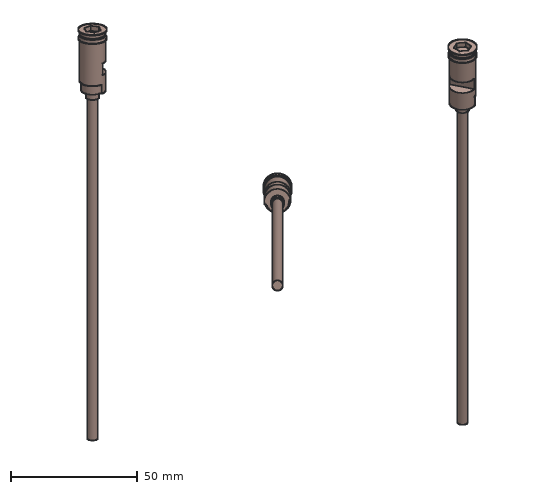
import cadquery as cq
import math

total_height = 176.5
rim_bottom = 176.1
groove_top = 174.5
groove_bottom = 174.0
lower_flare_bottom = 172.8
lower_rim_bottom = 172.5
sleeve_bottom = 153.9
body_bottom = 150.2
collar_bottom = 147.0

flange_diameter = 11.5
flange_radius = flange_diameter / 2
body_radius = 5.3
groove_radius = 5.1
core_radius = 4.6
neck_fillet = 0.7
collar_radius = 2.6
rod_radius = 2.1
sleeve_chamfer = 0.4

flare_radius = flange_radius - body_radius
upper_flare_bottom = rim_bottom - flare_radius
lower_flare_top = lower_flare_bottom + flare_radius

socket_across_flats = 6.0
socket_depth = 2.1

slot_bottom = 158.1
slot_top = 163.0
slot_floor_y = 0.7


def cylinder(radius, bottom, top):
    return cq.Workplane("XY").workplane(offset=bottom).circle(radius).extrude(top - bottom)


def half_space(side, bottom, top):
    """Block covering one side of the XZ plane: side is +1 for +Y, -1 for -Y."""
    size = 4 * flange_radius
    return (
        cq.Workplane("XY")
        .box(size, size, top - bottom, centered=(True, True, False))
        .translate((0, side * size / 2, bottom))
    )


def make_head():
    """Flanged head with a waist and a narrow groove between its two rims."""
    arc_rise = flare_radius * (1 - math.sin(math.pi / 4))
    mid_radius = body_radius + arc_rise
    upper_mid = rim_bottom - arc_rise
    lower_mid = lower_flare_bottom + arc_rise
    return (
        cq.Workplane("XZ")
        .moveTo(0, total_height)
        .lineTo(flange_radius, total_height)
        .lineTo(flange_radius, rim_bottom)
        .threePointArc((mid_radius, upper_mid), (body_radius, upper_flare_bottom))
        .lineTo(body_radius, groove_top)
        .lineTo(groove_radius, groove_top)
        .lineTo(groove_radius, groove_bottom)
        .lineTo(body_radius, groove_bottom)
        .lineTo(body_radius, lower_flare_top)
        .threePointArc((mid_radius, lower_mid), (flange_radius, lower_flare_bottom))
        .lineTo(flange_radius, lower_rim_bottom)
        .lineTo(0, lower_rim_bottom)
        .close()
        .revolve(360, (0, 0), (0, 1))
    )


def make_neck():
    """Rear half at body radius, blended by concave fillets into a smaller round front."""
    core = cylinder(core_radius, body_bottom, lower_rim_bottom)
    rear = cylinder(body_radius, body_bottom, lower_rim_bottom)
    rear = rear.intersect(half_space(1, body_bottom, lower_rim_bottom))
    reach = (core_radius + body_radius) / 2
    depth = body_radius - core_radius
    inner_corners = cq.selectors.BoxSelector(
        (-reach, -depth, body_bottom), (reach, depth, lower_rim_bottom)
    )
    return core.union(rear).edges("|Z").edges(inner_corners).fillet(neck_fillet)


def make_sleeve():
    """Front half at body radius, ending in a chamfer above the bottom of the neck."""
    sleeve = cylinder(body_radius, sleeve_bottom, lower_rim_bottom)
    sleeve = sleeve.faces("<Z").chamfer(sleeve_chamfer)
    return sleeve.intersect(half_space(-1, sleeve_bottom, lower_rim_bottom))


def make_slot():
    return half_space(1, slot_bottom, slot_top).translate((0, slot_floor_y, 0))


def make_socket():
    """Hexagon with two corners on the Y axis."""
    across_corners = socket_across_flats / math.cos(math.pi / 6)
    return (
        cq.Workplane("XY")
        .workplane(offset=total_height - socket_depth)
        .transformed(rotate=(0, 0, 90))
        .polygon(6, across_corners)
        .extrude(socket_depth)
    )


collar = cylinder(collar_radius, collar_bottom, body_bottom)
rod = cylinder(rod_radius, 0, collar_bottom)

result = make_head().union(make_neck()).union(make_sleeve()).union(collar).union(rod)
result = result.cut(make_slot()).cut(make_socket())